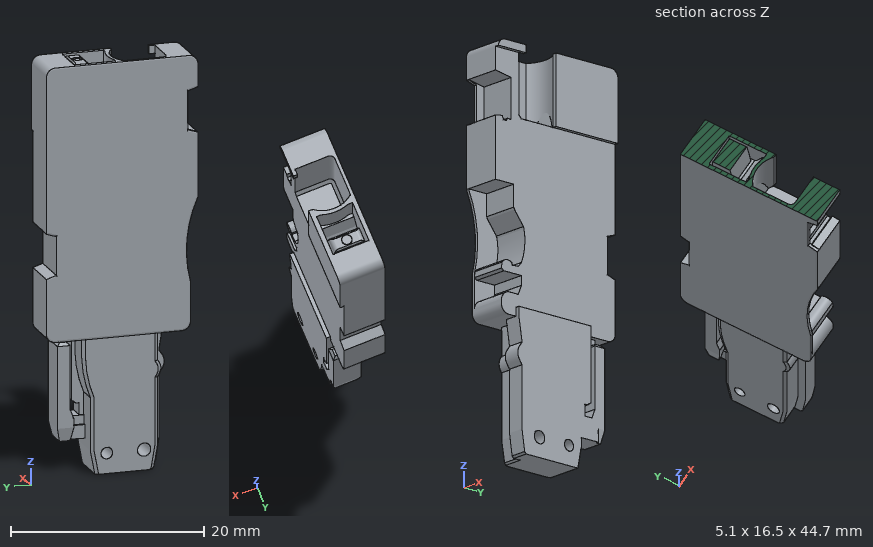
import cadquery as cq
import math

total_width = 5.1
height = 44.65
depth = 16.5
body_side = 4.65
cover_thickness = 0.4
cover_bevel_depth = 0.05
cover_bevel_width = 0.2
housing_bottom = 14.9
corner_radius = 1.0
lower_front = 0.8
recess_top = 29.25

notch_width = 4.9
notch_slant = 0.35
front_notch_z = 38.7
back_notch_z = 24.3
cover_notch_depth = 1.1
body_notch_depth = 2.15
back_notch_depth = 1.05

funnel_front = 3.2
funnel_lip_end = 3.85
funnel_side_end = 7.95
funnel_back = 8.7
funnel_floor = 36.6
funnel_back_at_floor = 8.3
funnel_step_top = 38.85
funnel_corner_radius = 0.55
funnel_bevel = 0.35
cap_bottom = 43.75

pocket_left, pocket_right = 0.55, 4.55
pocket_front, pocket_back = 8.85, 13.3
pocket_floor = 39.75
bulge_half_width = 1.5
bulge_rise = 0.25
ramp_start_y, ramp_bend_y, ramp_top_y = 10.22, 9.95, 9.25
ramp_bend_height = 0.22
ramp_height = 1.35

actuator_left, actuator_right = 0.9, 4.35
actuator_toe, actuator_front, actuator_back = 10.55, 11.6, 13.13
actuator_top = 44.6
actuator_side_radius = 0.5
actuator_edge_bevel = 0.2
dimple_y = 12.32
dimple_diameter = 1.05
dimple_depth = 0.15

plug_left = 0.65
plug_split = 3.13
plug_top = 15.9
taper_z = 2.6
blade_back = 11.48
blade_tip_back = 11.0
narrow_blade_front = 4.15
wide_blade_front = 3.25
blade_bevel_width = 0.35
blade_bevel_depth = 0.2
bump_z = 10.85
hole_z = 2.25
back_hole_y, back_hole_diameter = 9.75, 1.25
front_hole_y, front_hole_diameter = 5.65, 1.45

arm_left = 1.95
arm_front, arm_back = 13.3, 14.7
arm_top = 14.15
arm_top_bevel = 0.3
heel_front = 12.9
heel_top = 5.9
foot_top, foot_bottom = 4.9, 3.45
foot_taper = 12
bridge_left = 2.7
rib_left = 2.95
bridge_front = 11.15
neck_left, neck_right = 3.2, 4.0
neck_front, neck_back = 13.7, 14.25


def prism(profile, x_start, x_end):
    """Extrude a closed Y-Z profile from x_start to x_end."""
    return profile.close().extrude(x_end - x_start).translate((x_start, 0, 0))


def profile_from(y, z):
    """Start a Y-Z profile at one point."""
    return cq.Workplane("YZ").moveTo(y, z)


def box(x_range, y_range, z_range):
    """Box spanning the given coordinate ranges."""
    size = [high - low for low, high in (x_range, y_range, z_range)]
    corner = (x_range[0], y_range[0], z_range[0])
    return cq.Workplane("XY").box(*size, centered=False).translate(corner)


def edge_notch(edge_y, bottom_y, centre_z):
    """Notch with slanted flanks, running through the whole width."""
    half = notch_width / 2
    inner_half = half - notch_slant
    profile = profile_from(edge_y, centre_z - half).polyline([
        (bottom_y, centre_z - inner_half),
        (bottom_y, centre_z + inner_half),
        (edge_y, centre_z + half),
    ], includeCurrent=True)
    return prism(profile, 0, total_width)


def close_housing(front, x_start, x_end, front_notch_depth):
    """Close a front edge path into a housing slab, round it and notch it."""
    profile = front.lineTo(lower_front, housing_bottom).lineTo(depth, housing_bottom)
    slab = prism(profile.lineTo(depth, height).lineTo(0, height), x_start, x_end)
    slab = slab.edges("|X and (>Z or <Z)").fillet(corner_radius)
    slab = slab.cut(edge_notch(0, front_notch_depth, front_notch_z))
    return slab.cut(edge_notch(depth, depth - back_notch_depth, back_notch_z))


def make_cover():
    """Cover plate with a shallow, wide bevel around its outer face."""
    front = profile_from(0, recess_top).threePointArc((1.25, 23.5), (lower_front, 20.15))
    cover = close_housing(front, cover_bevel_depth, cover_thickness, cover_notch_depth)
    bevel_taper = math.degrees(math.atan2(cover_bevel_width, cover_bevel_depth))
    outer_face = cover.faces("<X").wires().toPending().workplane()
    return outer_face.extrude(cover_bevel_depth, taper=bevel_taper)


def make_body():
    """Body behind the cover, with a groove in the floor of its front notch."""
    front = (
        profile_from(0, recess_top)
        .lineTo(2.5, recess_top)
        .lineTo(2.5, 26.75)
        .lineTo(2.65, 26.48)
        .lineTo(3.85, 24.9)
        .lineTo(3.95, 24.65)
        .threePointArc((4.0, 22.85), (3.55, 20.95))
        .lineTo(3.13, 20.4)
        .lineTo(2.3, 20.4)
        .lineTo(2.25, 20.65)
        .lineTo(2.0, 20.75)
        .threePointArc((1.47, 20.8), (0.9, 20.4))
        .lineTo(lower_front, 19.75)
        .lineTo(1.15, 19.5)
        .lineTo(3.55, 19.5)
        .lineTo(3.55, 18.45)
        .lineTo(3.13, 17.35)
        .lineTo(1.9, 17.35)
        .threePointArc((1.1, 17.0), (lower_front, 16.35))
    )
    groove = profile_from(0.8, 36.6).polyline([
        (1.1, 36.0),
        (1.5, 36.0),
        (1.65, 36.25),
        (body_notch_depth, 36.25),
        (body_notch_depth, 36.6),
    ], includeCurrent=True)
    body = close_housing(front, cover_thickness, body_side, body_notch_depth)
    return body.cut(prism(groove, cover_thickness, body_side))


def make_side_pad():
    """Raised top end of the right side: a pad at the back, a lip at the front."""
    pad = box((body_side, total_width), (0, depth), (funnel_floor, height))
    pad = pad.edges("|X and >Z").fillet(corner_radius)
    below_lip = box((body_side, total_width), (0, funnel_side_end), (funnel_floor, cap_bottom))
    return pad.cut(below_lip)


def make_funnel():
    """Arched pocket whose back wall slopes to a straight edge at the floor."""
    x_range = (cover_thickness, body_side)
    corner = funnel_front + funnel_corner_radius
    middle_x = sum(x_range) / 2
    funnel = (
        cq.Workplane("XY", origin=(0, 0, funnel_floor))
        .moveTo(cover_thickness + funnel_corner_radius, funnel_front)
        .lineTo(body_side, funnel_front)
        .lineTo(body_side, funnel_side_end)
        .threePointArc((middle_x, funnel_back), (cover_thickness, funnel_side_end))
        .lineTo(cover_thickness, corner)
        .radiusArc((cover_thickness + funnel_corner_radius, funnel_front), -funnel_corner_radius)
        .close()
        .extrude(height - funnel_floor)
    )
    funnel = funnel.edges("<Z and (not >Y) and (not >X)").chamfer(funnel_bevel)
    slope_profile = profile_from(funnel_back_at_floor, funnel_floor).polyline([
        (funnel_back, funnel_step_top),
        (funnel_back, funnel_floor),
    ], includeCurrent=True)
    funnel = funnel.cut(prism(slope_profile, *x_range))
    side_opening = box(
        (body_side, total_width), (funnel_lip_end, funnel_side_end), (funnel_floor, height)
    )
    return funnel.union(side_opening)


def make_actuator():
    """Wedge with a vertical back, rounded sides and a shallow dimple on top."""
    profile = profile_from(actuator_toe, pocket_floor).polyline([
        (actuator_front, actuator_top),
        (actuator_back, actuator_top),
        (actuator_back, pocket_floor),
    ], includeCurrent=True)
    wedge = prism(profile, actuator_left, actuator_right)
    wedge = wedge.edges(">Z and |X").chamfer(actuator_edge_bevel)
    wedge = wedge.edges(">Z and |Y").fillet(actuator_side_radius)
    dimple = (
        cq.Workplane("XY", origin=(0, 0, actuator_top))
        .center((actuator_left + actuator_right) / 2, dimple_y)
        .circle(dimple_diameter / 2)
        .extrude(-dimple_depth)
    )
    return wedge.cut(dimple)


def make_actuator_pocket():
    """Pocket volume, less the ramp on its floor and the bulge of its front wall."""
    x_range = (pocket_left, pocket_right)
    pocket = box(x_range, (pocket_front, pocket_back), (pocket_floor, height))
    ramp_profile = profile_from(ramp_start_y, pocket_floor).polyline([
        (ramp_bend_y, pocket_floor + ramp_bend_height),
        (ramp_top_y, pocket_floor + ramp_height),
        (pocket_front, pocket_floor + ramp_height),
        (pocket_front, pocket_floor),
    ], includeCurrent=True)
    pocket = pocket.cut(prism(ramp_profile, *x_range))
    middle_x = sum(x_range) / 2
    bulge = (
        cq.Workplane("XY", origin=(0, 0, pocket_floor))
        .moveTo(middle_x - bulge_half_width, pocket_front)
        .threePointArc((middle_x, pocket_front + bulge_rise), (middle_x + bulge_half_width, pocket_front))
        .close()
        .extrude(height - pocket_floor)
    )
    return pocket.cut(bulge)


def narrow_blade_profile(inset):
    """Narrow blade outline, moved inwards at the front and back by inset."""
    front = narrow_blade_front + inset
    half_bump = 0.9
    bump = 0.35
    return (
        profile_from(12.4 - inset, plug_top)
        .lineTo(12.4 - inset, 12.73)
        .threePointArc((12.15 - inset, 10.5), (blade_back - inset, 8.35))
        .lineTo(blade_back - inset, taper_z)
        .lineTo(blade_tip_back - inset, 0)
        .lineTo(front + 0.6, 0)
        .lineTo(front + 0.4, 0.22)
        .lineTo(front, taper_z)
        .lineTo(front, bump_z - half_bump)
        .threePointArc((front - bump, bump_z), (front, bump_z + half_bump))
        .lineTo(front, plug_top)
    )


def make_narrow_blade():
    """Narrow blade with bevelled front and back edges on its left face."""
    bevel_end = plug_left + blade_bevel_depth
    outlines = [
        narrow_blade_profile(inset).close().val().translate(cq.Vector(x, 0, 0))
        for inset, x in ((blade_bevel_width, plug_left), (0, bevel_end))
    ]
    bevelled_skin = cq.Workplane(cq.Solid.makeLoft(outlines, True))
    return prism(narrow_blade_profile(0), bevel_end, plug_split).union(bevelled_skin)


def make_wide_blade():
    """Wide blade, reaching further forward than the narrow one."""
    front = wide_blade_front
    profile = (
        profile_from(12.75, plug_top)
        .lineTo(12.75, 7.5)
        .lineTo(12.32, 7.2)
        .lineTo(11.95, 7.2)
        .lineTo(11.95, foot_top)
        .lineTo(blade_back, foot_top)
        .lineTo(blade_back, taper_z)
        .lineTo(blade_tip_back, 0)
        .lineTo(front + 0.6, 0)
        .lineTo(front + 0.35, 0.22)
        .lineTo(front, taper_z)
        .lineTo(front, bump_z - 1.25)
        .lineTo(front - 0.3, bump_z - 0.8)
        .threePointArc((front - 0.6, bump_z), (front - 0.3, bump_z + 0.8))
        .lineTo(front, bump_z + 1.25)
        .lineTo(2.8, housing_bottom)
        .lineTo(2.8, plug_top)
    )
    return prism(profile, plug_split, total_width)


def make_latch_arm():
    """Arm behind the blades, necked at the housing and joined to them by a bridge."""
    arm_profile = profile_from(arm_back, foot_top).polyline([
        (arm_back, arm_top),
        (arm_front, arm_top),
        (arm_front, 6.9),
        (heel_front, heel_top),
        (heel_front, foot_top),
    ], includeCurrent=True)
    arm = prism(arm_profile, arm_left, total_width)
    arm = arm.faces(">Z").chamfer(arm_top_bevel)
    foot = (
        cq.Workplane("XY", origin=(0, 0, foot_top))
        .center((arm_left + total_width) / 2, (heel_front + arm_back) / 2)
        .rect(total_width - arm_left, arm_back - heel_front)
        .extrude(foot_bottom - foot_top, taper=foot_taper)
    )
    bridge_y = (bridge_front, (heel_front + arm_back) / 2)
    bridge = box((bridge_left, total_width), bridge_y, (foot_bottom, foot_top))
    rib = box((rib_left, total_width), (bridge_front, heel_front), (foot_top, heel_top))
    neck = box((neck_left, neck_right), (neck_front, neck_back), (arm_top, plug_top))
    return arm.union(foot).union(bridge).union(rib).union(neck)


def plug_hole(y, diameter):
    """Cross hole through both blades near their tip."""
    circle = cq.Workplane("YZ").center(y, hole_z).circle(diameter / 2)
    return circle.extrude(total_width)


housing = make_cover().union(make_body()).union(make_side_pad())
housing = housing.cut(make_funnel()).cut(make_actuator_pocket())
housing = housing.union(make_actuator())
plug = make_narrow_blade().union(make_wide_blade()).union(make_latch_arm())
plug = plug.cut(plug_hole(back_hole_y, back_hole_diameter))
plug = plug.cut(plug_hole(front_hole_y, front_hole_diameter))
result = housing.union(plug)